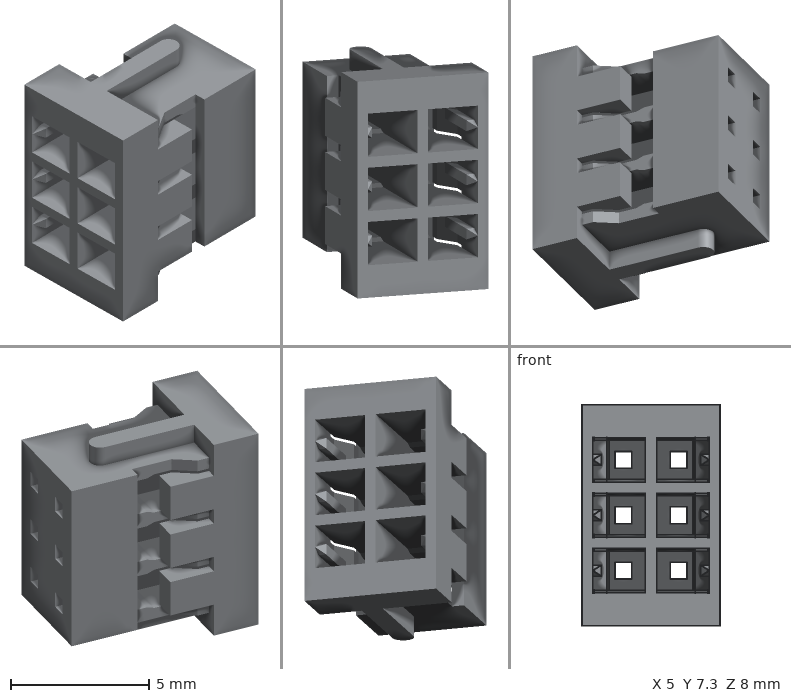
import cadquery as cq

ROWS = 3
PITCH = 2.0
ROW_CENTRES = [(row - (ROWS - 1) / 2) * PITCH for row in range(ROWS)]
COLUMN_SIDES = (-1, 1)
COLUMN_CENTRE = PITCH / 2

FLANGE_WIDTH = 5.0
FLANGE_HEIGHT = 8.0
FLANGE_DEPTH = 1.8

BODY_HEIGHT = 6.5
TOTAL_DEPTH = 7.3
FLARE_HALF_WIDTH = 2.1
WAIST_HALF_WIDTH = 1.6
FLARE_START = 2.25
FLARE_END = 3.05
HEAD_FRONT = 4.65
HEAD_WIDTH = 4.1

RAIL_CENTRE_X = -0.5
RAIL_WIDTH = 0.8
RAIL_END = 5.8

POCKET_INNER_X = 0.2
POCKET_HEIGHT = 1.6
DEEP_POCKET_HEIGHT = 1.4
TAPER_START = 3.75
TAPER_END = 4.05
POCKET_FLOOR = 7.0
FLOOR_HALF_WIDTH = 1.51
HOLE_SIZE = 0.6

TONGUE_HEIGHT = 1.4
TONGUE_END = 3.55

PIN_WIDTH = 0.6
PIN_HEIGHT = 0.4
PIN_POINT_LENGTH = 0.4
PIN_END = 3.0


def box(x_range, y_range, z_range):
    """Box spanning the given (low, high) ranges."""
    sizes = [high - low for low, high in (x_range, y_range, z_range)]
    corner = (x_range[0], y_range[0], z_range[0])
    return cq.Workplane("XY").box(*sizes, centered=False).translate(corner)


def mid_span(centre, size):
    """(low, high) range of the given size about a centre."""
    return (centre - size / 2, centre + size / 2)


def plan_prism(points, z_centre, height):
    """Outline in X and Y extruded along Z, centred on z_centre."""
    prism = cq.Workplane("XY").polyline(points).close().extrude(height / 2, both=True)
    return prism.translate((0, 0, z_centre))


def on_side(shape, side):
    """The shape as built on the +X side, or mirrored to the -X side."""
    return shape if side > 0 else shape.mirror("YZ")


def make_flange():
    return box(mid_span(0, FLANGE_WIDTH), (0, FLANGE_DEPTH), mid_span(0, FLANGE_HEIGHT))


def make_body():
    half_profile = [
        (FLARE_HALF_WIDTH, 0),
        (FLARE_HALF_WIDTH, FLARE_START),
        (WAIST_HALF_WIDTH, FLARE_END),
        (WAIST_HALF_WIDTH, HEAD_FRONT),
        (HEAD_WIDTH / 2, HEAD_FRONT),
        (HEAD_WIDTH / 2, TOTAL_DEPTH),
    ]
    mirrored = [(-x, y) for x, y in reversed(half_profile)]
    return plan_prism(half_profile + mirrored, 0, BODY_HEIGHT)


def make_rails():
    """One bar through the full height; its ends stand out as the two rails."""
    radius = RAIL_WIDTH / 2
    left, right = mid_span(RAIL_CENTRE_X, RAIL_WIDTH)
    return (
        cq.Workplane("XY")
        .moveTo(left, 0)
        .lineTo(right, 0)
        .lineTo(right, RAIL_END - radius)
        .threePointArc((RAIL_CENTRE_X, RAIL_END), (left, RAIL_END - radius))
        .close()
        .extrude(FLANGE_HEIGHT / 2, both=True)
    )


def make_pocket(z_centre):
    """Cavity of a +X pocket: plan outline crossed with a height profile that narrows inwards."""
    plan = plan_prism(
        [
            (POCKET_INNER_X, 0),
            (FLARE_HALF_WIDTH, 0),
            (FLARE_HALF_WIDTH, FLARE_START),
            (WAIST_HALF_WIDTH, FLARE_END),
            (WAIST_HALF_WIDTH, HEAD_FRONT),
            (FLOOR_HALF_WIDTH, POCKET_FLOOR),
            (POCKET_INNER_X, POCKET_FLOOR),
        ],
        z_centre,
        POCKET_HEIGHT,
    )
    half_profile = [
        (0, POCKET_HEIGHT / 2),
        (TAPER_START, POCKET_HEIGHT / 2),
        (TAPER_END, DEEP_POCKET_HEIGHT / 2),
        (POCKET_FLOOR, DEEP_POCKET_HEIGHT / 2),
    ]
    outline = half_profile + [(y, -z) for y, z in reversed(half_profile)]
    profile = cq.Workplane("YZ").polyline(outline).close().extrude(FLANGE_WIDTH).translate((0, 0, z_centre))
    return plan.intersect(profile)


def make_hole(z_centre):
    """Square hole through the floor of a +X pocket."""
    return box(mid_span(COLUMN_CENTRE, HOLE_SIZE), (0, TOTAL_DEPTH), mid_span(z_centre, HOLE_SIZE))


def make_tongue(z_centre):
    """+X tongue whose inner face follows the flare of the body."""
    outline = [
        (FLANGE_WIDTH / 2, 0),
        (FLANGE_WIDTH / 2, TONGUE_END),
        (WAIST_HALF_WIDTH, TONGUE_END),
        (WAIST_HALF_WIDTH, FLARE_END),
        (FLARE_HALF_WIDTH, FLARE_START),
        (FLARE_HALF_WIDTH, 0),
    ]
    return plan_prism(outline, z_centre, TONGUE_HEIGHT)


def make_pin(z_centre):
    """Rectangular bar on the +X pocket wall, ending in a pyramid with its apex at the mating face."""
    pin_x = mid_span(FLARE_HALF_WIDTH, PIN_WIDTH)
    pin_z = mid_span(z_centre, PIN_HEIGHT)
    bar = box(pin_x, (PIN_POINT_LENGTH, PIN_END), pin_z)
    apex = cq.Vector(FLARE_HALF_WIDTH, 0, z_centre)
    base = [
        cq.Vector(x, PIN_POINT_LENGTH, z)
        for x, z in (
            (pin_x[0], pin_z[0]),
            (pin_x[1], pin_z[0]),
            (pin_x[1], pin_z[1]),
            (pin_x[0], pin_z[1]),
        )
    ]
    outlines = [base] + [[base[i - 1], base[i], apex] for i in range(len(base))]
    faces = [cq.Face.makeFromWires(cq.Wire.makePolygon(points, close=True)) for points in outlines]
    point = cq.Solid.makeSolid(cq.Shell.makeShell(faces))
    return bar.union(cq.Workplane(point))


result = make_flange().union(make_body()).union(make_rails())
for z in ROW_CENTRES:
    for side in COLUMN_SIDES:
        result = result.cut(on_side(make_pocket(z), side))
        result = result.cut(on_side(make_hole(z), side))
        result = result.union(on_side(make_tongue(z), side))
        result = result.union(on_side(make_pin(z), side))